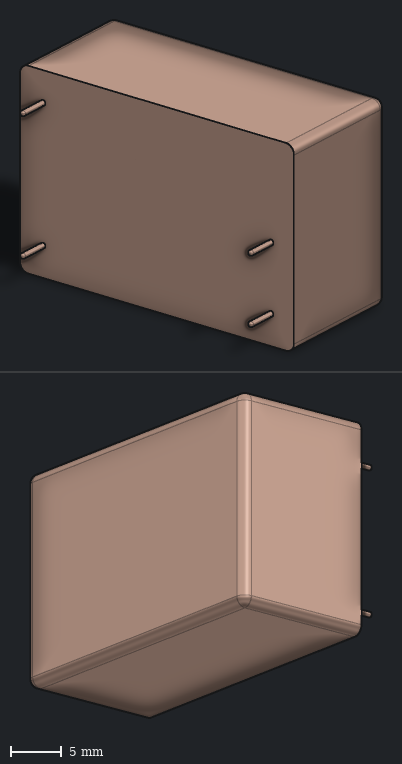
import cadquery as cq

case_length = 33.7
case_height = 22.2
case_depth = 15.0
corner_radius = 1.0

pin_diameter = 0.6
pin_length = 3.5
pin_tip_radius = 0.27
pin_column_x = 14.02
pin_row_z = 7.6
pin_positions = [
    (-pin_column_x, pin_row_z),
    (-pin_column_x, -pin_row_z),
    (pin_column_x, 0),
    (pin_column_x, -pin_row_z),
]


def make_case():
    """Block rounded on its four depth edges and around its back face."""
    block = cq.Workplane("XZ").rect(case_length, case_height).extrude(-case_depth)
    return block.edges("|Y or >Y").fillet(corner_radius)


def make_pin(x, z):
    """Round pin standing on the flat face, with a rounded tip."""
    pin = cq.Workplane("XZ").center(x, z).circle(pin_diameter / 2).extrude(pin_length)
    return pin.faces("<Y").fillet(pin_tip_radius)


result = make_case()
for pin_x, pin_z in pin_positions:
    result = result.union(make_pin(pin_x, pin_z))